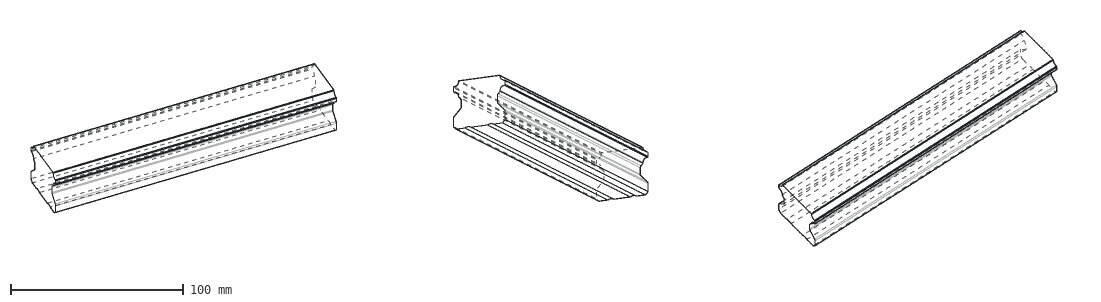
import cadquery as cq
import math

LENGTH = 180.0
WIDTH = 34.0
HEIGHT = 29.0
HALF_WIDTH = WIDTH / 2

HEAD_HALF_WIDTH = 13.7
HEAD_CHAMFER = 0.4
LIP_CENTER_Z = 24.1
LIP_HALF_THICKNESS = 1.6
LIP_CHAMFER = 0.45
TRACK_RADIUS = 2.7
HEAD_BOTTOM_Z = 19.3

WAIST_HALF_WIDTH = 11.9
WAIST_BOTTOM_Z = 12.5
WAIST_TOP_FILLET = 1.6
WAIST_BOTTOM_FILLET = 0.9
SHOULDER_ANGLE = 45.0
SHOULDER_FILLET = 1.6
BASE_CHAMFER = 1.8

GROOVE_X = 7.4
GROOVE_WIDTH = 4.0
GROOVE_DEPTH = 0.5


def side_points():
    """Corner points of the right-hand side below the tracks, from the head down to the base."""
    waist_top_z = HEAD_BOTTOM_Z - (HEAD_HALF_WIDTH - WAIST_HALF_WIDTH)
    shoulder_drop = (HALF_WIDTH - WAIST_HALF_WIDTH) * math.tan(math.radians(SHOULDER_ANGLE))
    return [
        (HEAD_HALF_WIDTH, HEAD_BOTTOM_Z),
        (WAIST_HALF_WIDTH, waist_top_z),
        (WAIST_HALF_WIDTH, WAIST_BOTTOM_Z),
        (HALF_WIDTH, WAIST_BOTTOM_Z - shoulder_drop),
        (HALF_WIDTH, BASE_CHAMFER),
        (HALF_WIDTH - BASE_CHAMFER, 0),
    ]


def half_rail():
    """Right-hand half of the rail, extruded along its full length."""
    lip_top = LIP_CENTER_Z + LIP_HALF_THICKNESS
    lip_bottom = LIP_CENTER_Z - LIP_HALF_THICKNESS
    track_end_x = HEAD_HALF_WIDTH + TRACK_RADIUS
    track_bulge = TRACK_RADIUS * (1 - math.sqrt(0.5))
    track_middle_x = HEAD_HALF_WIDTH + track_bulge

    outline = (
        cq.Workplane("XZ", origin=(0, LENGTH / 2, 0))
        .moveTo(0, HEIGHT)
        .lineTo(HEAD_HALF_WIDTH - HEAD_CHAMFER, HEIGHT)
        .lineTo(HEAD_HALF_WIDTH, HEIGHT - HEAD_CHAMFER)
        .lineTo(HEAD_HALF_WIDTH, lip_top + TRACK_RADIUS)
        .threePointArc((track_middle_x, lip_top + track_bulge), (track_end_x, lip_top))
        .lineTo(HALF_WIDTH - LIP_CHAMFER, lip_top)
        .lineTo(HALF_WIDTH, lip_top - LIP_CHAMFER)
        .lineTo(HALF_WIDTH, lip_bottom + LIP_CHAMFER)
        .lineTo(HALF_WIDTH - LIP_CHAMFER, lip_bottom)
        .lineTo(track_end_x, lip_bottom)
        .threePointArc(
            (track_middle_x, lip_bottom - track_bulge),
            (HEAD_HALF_WIDTH, lip_bottom - TRACK_RADIUS),
        )
    )
    for point in side_points():
        outline = outline.lineTo(*point)
    return outline.lineTo(0, 0).close().extrude(LENGTH)


def edge_selector(point):
    """Pick the lengthwise edge that passes through a profile corner."""
    x, z = point
    return cq.selectors.NearestToPointSelector((x, 0, z))


def round_side(half):
    """Round the two waist corners and the shoulder edge."""
    _, waist_top, waist_bottom, shoulder, _, _ = side_points()
    for corner, radius in (
        (waist_top, WAIST_TOP_FILLET),
        (waist_bottom, WAIST_BOTTOM_FILLET),
        (shoulder, SHOULDER_FILLET),
    ):
        half = half.edges("|Y").edges(edge_selector(corner)).fillet(radius)
    return half


def underside_groove(x):
    """Cutter for one arc-bottomed groove running the full length."""
    return (
        cq.Workplane("XZ", origin=(x, LENGTH / 2, 0))
        .moveTo(-GROOVE_WIDTH / 2, 0)
        .threePointArc((0, GROOVE_DEPTH), (GROOVE_WIDTH / 2, 0))
        .close()
        .extrude(LENGTH)
    )


right_half = round_side(half_rail())
rail = right_half.union(right_half.mirror("YZ"))
for side in (-1, 1):
    rail = rail.cut(underside_groove(side * GROOVE_X))

result = rail.clean()